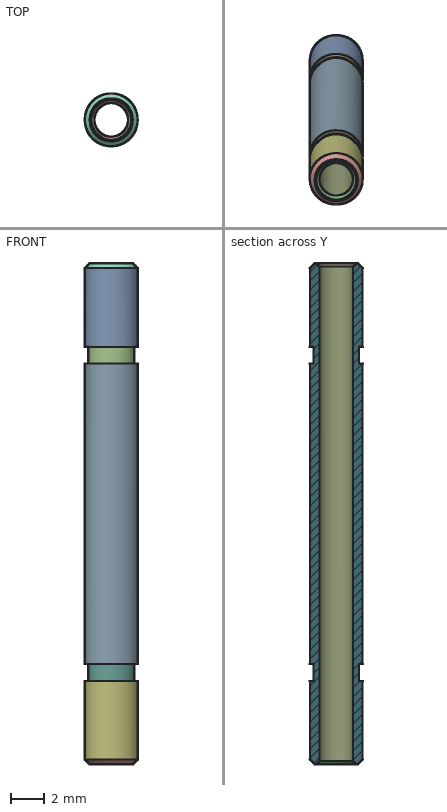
import cadquery as cq

length = 30.0
outer_diameter = 3.18
bore_diameter = 2.0
outer_chamfer = 0.3
bore_chamfer = 0.2

groove_width = 1.0
groove_diameter = 2.78
groove_end_distance = 5.0


def make_tube():
    """Round tube with chamfered end edges, outside and along the bore."""
    rod = cq.Workplane("XY").circle(outer_diameter / 2).extrude(length / 2, both=True)
    rod = rod.faces("<Z or >Z").chamfer(outer_chamfer)
    bore = cq.Workplane("XY").circle(bore_diameter / 2).extrude(length / 2, both=True)
    tube = rod.cut(bore)
    bore_edges = tube.edges(cq.selectors.RadiusNthSelector(0))
    return bore_edges.chamfer(bore_chamfer)


def make_groove_ring(bottom_z):
    """Ring of material to remove for a groove whose lower wall is at bottom_z."""
    return (
        cq.Workplane("XY")
        .workplane(offset=bottom_z)
        .circle(outer_diameter / 2)
        .circle(groove_diameter / 2)
        .extrude(groove_width)
    )


lower_groove_z = -length / 2 + groove_end_distance
upper_groove_z = length / 2 - groove_end_distance - groove_width

result = make_tube()
for groove_z in (lower_groove_z, upper_groove_z):
    result = result.cut(make_groove_ring(groove_z))